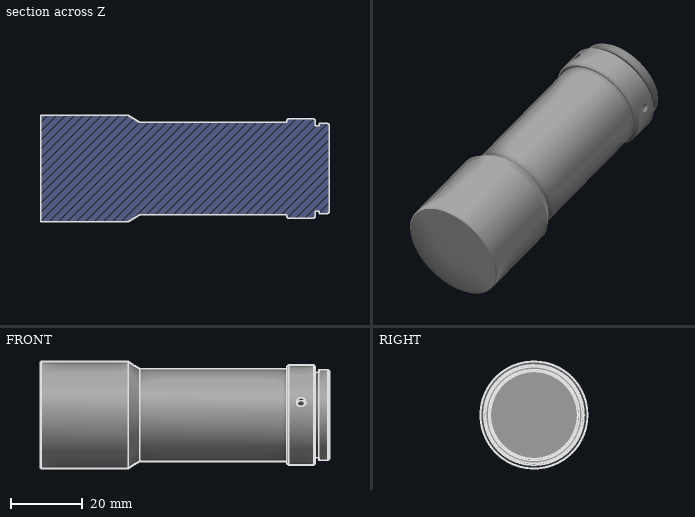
import cadquery as cq
import math

overall_length = 80.85

head_diameter = 30.0
head_edge_chamfer = 0.3
head_straight_length = 24.5
shoulder_length = 3.25

tube_diameter = 26.0

collar_diameter = 28.0
collar_length = 8.0
collar_chamfer = 0.5

neck_diameter = 24.0
neck_length = 1.0

flange_diameter = 25.4
flange_length = 3.0
flange_chamfer_length = 0.6
flange_chamfer_depth = 0.5

screw_hole_diameter = 2.5
screw_hole_depth = 3.0
screw_hole_tip_angle = 118.0
screw_hole_count = 3
first_screw_hole_angle = 45.0

shoulder_end = head_straight_length + shoulder_length
flange_start = overall_length - flange_length
collar_end = flange_start - neck_length
collar_start = collar_end - collar_length
collar_middle = (collar_start + collar_end) / 2


def make_barrel():
    """Revolve the stepped half profile about the X axis."""
    head_radius = head_diameter / 2
    tube_radius = tube_diameter / 2
    collar_radius = collar_diameter / 2
    neck_radius = neck_diameter / 2
    flange_radius = flange_diameter / 2
    half_profile = [
        (0, 0),
        (0, head_radius - head_edge_chamfer),
        (head_edge_chamfer, head_radius),
        (head_straight_length, head_radius),
        (shoulder_end, tube_radius),
        (collar_start, tube_radius),
        (collar_start, collar_radius - collar_chamfer),
        (collar_start + collar_chamfer, collar_radius),
        (collar_end - collar_chamfer, collar_radius),
        (collar_end, collar_radius - collar_chamfer),
        (collar_end, neck_radius),
        (flange_start, neck_radius),
        (flange_start, flange_radius),
        (overall_length - flange_chamfer_length, flange_radius),
        (overall_length, flange_radius - flange_chamfer_depth),
        (overall_length, 0),
    ]
    return cq.Workplane("XY").polyline(half_profile).close().revolve(360, (0, 0, 0), (1, 0, 0))


def make_screw_hole(angle):
    """Cutter for a blind radial hole with a conical floor, sunk into the collar."""
    hole_radius = screw_hole_diameter / 2
    tip_length = hole_radius / math.tan(math.radians(screw_hole_tip_angle / 2))
    mouth = collar_diameter / 2
    floor = mouth - screw_hole_depth
    half_profile = [
        (collar_middle, mouth),
        (collar_middle + hole_radius, mouth),
        (collar_middle + hole_radius, floor),
        (collar_middle, floor - tip_length),
    ]
    drill = (
        cq.Workplane("XY")
        .polyline(half_profile)
        .close()
        .revolve(360, (collar_middle, 0, 0), (collar_middle, 1, 0))
    )
    return drill.rotate((0, 0, 0), (1, 0, 0), angle)


result = make_barrel()
for index in range(screw_hole_count):
    hole_angle = first_screw_hole_angle + index * 360 / screw_hole_count
    result = result.cut(make_screw_hole(hole_angle))